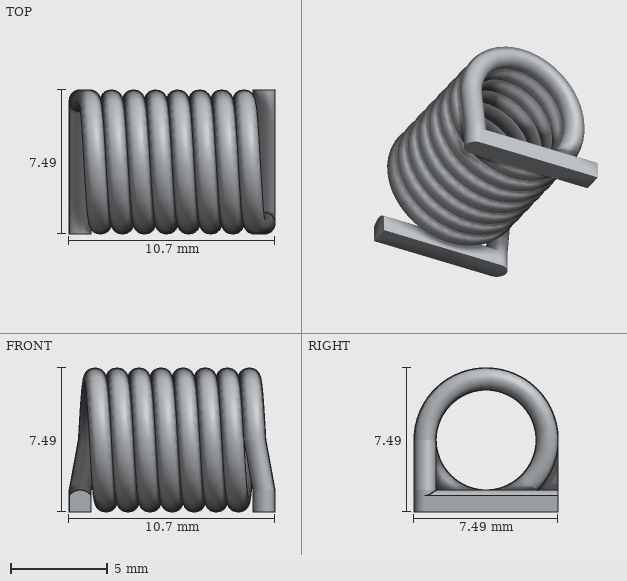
import cadquery as cq

length = 10.68
coil_diameter = 7.49

wire_diameter = 1.14
turns = 7.5
winding_span = 8.59
pitch = winding_span / turns
wire_radius = wire_diameter / 2
helix_radius = coil_diameter / 2 - wire_radius
winding_start_x = -winding_span / 2

foot_height = wire_diameter
foot_side_height = 0.87
foot_x = -length / 2 + wire_radius
foot_bottom_z = -coil_diameter / 2
foot_top_z = foot_bottom_z + foot_height


def make_coil():
    """Helical wire around the X axis, starting at +Y and rising first."""
    path = cq.Wire.makeHelix(pitch, winding_span, helix_radius)
    coil = (
        cq.Workplane("XZ")
        .center(helix_radius, 0)
        .circle(wire_radius)
        .sweep(cq.Workplane(obj=path), isFrenet=True)
    )
    axis_plane = cq.Plane(origin=(winding_start_x, 0, 0), xDir=(0, 1, 0), normal=(1, 0, 0))
    return cq.Workplane(obj=coil.val().moved(cq.Location(axis_plane)))


def make_terminal():
    """Slanted leg, vertical post and mounting foot at the -X end."""
    leg = (
        cq.Workplane("XY", origin=(foot_x, helix_radius, foot_top_z))
        .circle(wire_radius)
        .workplane(offset=-foot_top_z)
        .center(winding_start_x - foot_x, 0)
        .circle(wire_radius)
        .loft(ruled=True)
    )
    post = (
        cq.Workplane("XY", origin=(foot_x, helix_radius, foot_bottom_z))
        .circle(wire_radius)
        .extrude(foot_height)
    )
    foot = (
        cq.Workplane("XZ", origin=(foot_x, helix_radius, foot_bottom_z))
        .moveTo(-wire_radius, 0)
        .lineTo(wire_radius, 0)
        .lineTo(wire_radius, foot_side_height)
        .threePointArc((0, foot_height), (-wire_radius, foot_side_height))
        .close()
        .extrude(helix_radius + coil_diameter / 2)
    )
    return post.union(foot).union(leg)


first_terminal = make_terminal()
second_terminal = first_terminal.rotate((0, 0, 0), (0, 0, 1), 180)

result = make_coil().union(first_terminal).union(second_terminal)